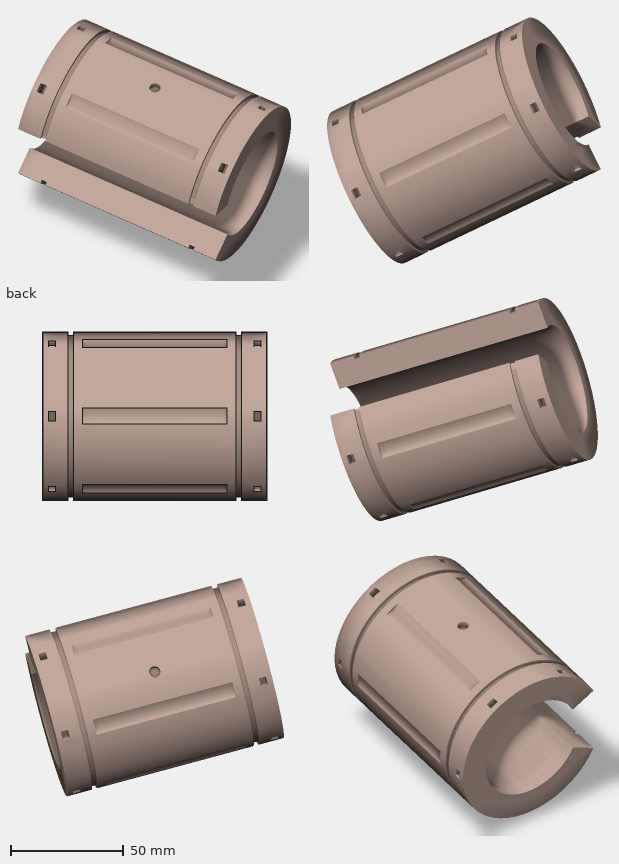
import cadquery as cq
import math

length = 100.0
outer_radius = 37.5
bore_radius = 25.0
split_half_angle = 26.8

ring_groove_width = 2.6
ring_groove_depth = 1.5
ring_groove_offset = 11.3

row_step = 60
row_angles = [-2 * row_step, -row_step, 0, row_step, 2 * row_step]
track_length = 64.4
track_groove_half_width = 3.6
track_groove_radius = 7.0

pocket_length = 3.3
pocket_width = 4.2
pocket_depth = 8.0
pocket_offset = 4.2

oil_hole_diameter = 5.0
oil_hole_depth = 3.0
oil_hole_y = 2.5

cut_margin = 1.0


def x_cylinder(radius, start, cylinder_length):
    return cq.Workplane("YZ").workplane(offset=start).circle(radius).extrude(cylinder_length)


def split_wedge():
    """Wedge opening from the axis towards -Y, reaching past the outer surface."""
    reach = 2 * outer_radius
    half_height = reach * math.tan(math.radians(split_half_angle))
    corners = [(0, 0), (-reach, half_height), (-reach, -half_height)]
    return cq.Workplane("YZ").polyline(corners).close().extrude(length)


def ring_groove(start):
    groove = x_cylinder(outer_radius + cut_margin, start, ring_groove_width)
    return groove.cut(x_cylinder(outer_radius - ring_groove_depth, start, ring_groove_width))


def arc_height(radius, half_chord):
    """Distance from the centre of an arc to its chord."""
    return math.sqrt(radius**2 - half_chord**2)


def track_groove():
    """Concave ball groove along the +Y side, with flat ends."""
    edge_y = arc_height(outer_radius, track_groove_half_width)
    centre_y = edge_y + arc_height(track_groove_radius, track_groove_half_width)
    start = (length - track_length) / 2
    return x_cylinder(track_groove_radius, start, track_length).translate((0, centre_y, 0))


def end_pocket(x):
    """Rectangular radial pocket on the +Y side."""
    depth_with_margin = pocket_depth + cut_margin
    centre_y = outer_radius + cut_margin - depth_with_margin / 2
    block = cq.Workplane("XY").box(pocket_length, depth_with_margin, pocket_width)
    return block.translate((x, centre_y, 0))


def oil_hole():
    plane = cq.Workplane("XY").workplane(offset=outer_radius - oil_hole_depth)
    return plane.center(length / 2, oil_hole_y).circle(oil_hole_diameter / 2).extrude(oil_hole_depth + cut_margin)


sleeve = x_cylinder(outer_radius, 0, length).cut(x_cylinder(bore_radius, 0, length))

for groove_start in (ring_groove_offset, length - ring_groove_offset - ring_groove_width):
    sleeve = sleeve.cut(ring_groove(groove_start))

row_cutters = [track_groove(), end_pocket(pocket_offset), end_pocket(length - pocket_offset)]
for angle in row_angles:
    for cutter in row_cutters:
        sleeve = sleeve.cut(cutter.rotate((0, 0, 0), (1, 0, 0), angle))

result = sleeve.cut(oil_hole()).cut(split_wedge())